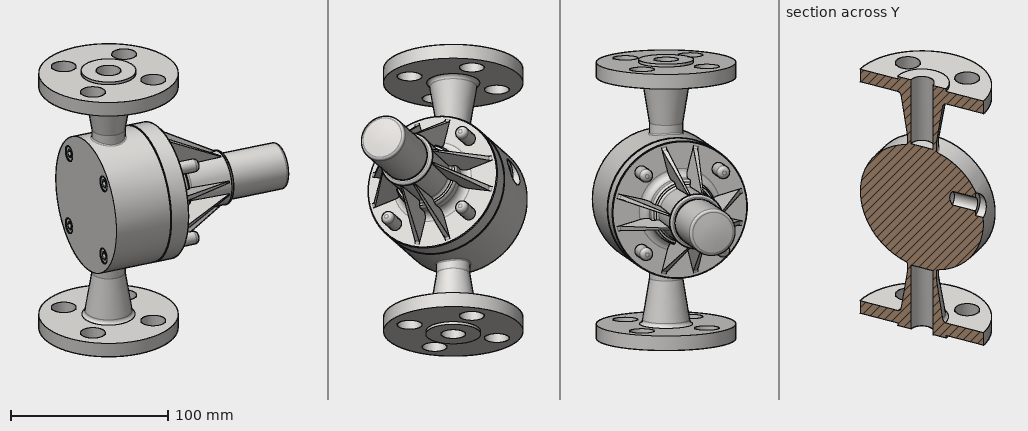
import cadquery as cq
import math

body_dia = 88.9
body_front_y = -15.8
joint_y = 22.5
cover_back_y = 35.5
cover_edge_chamfer = 0.5
joint_groove_width = 0.5
joint_groove_depth = 0.4

total_height = 182.0
raised_face_dia = 35.0
raised_face_height = 1.8
flange_dia = 88.9
flange_thickness = 9.5
flange_hole_dia = 15.8
flange_hole_spacing = 42.6
nozzle_bore_dia = 15.7
neck_dia = 21.3
neck_end_z = 50.3
neck_foot_fillet = 0.7
cone_end_z = 77.0
cone_end_dia = 30.0
root_dia = 33.9
flare_radius = 3.3

base_dia = 42.8
base_end_y = 48.0
base_edge_radius = 2.7
base_root_radius = 5.3
hub_dia = 35.0
hub_root_radius = 2.7
collar_dia = 35.5
collar_start_y = 78.7
collar_end_y = 80.7
collar_edge_radius = 1.8
collar_groove_width = 0.5
collar_groove_depth = 0.5

motor_dia = 30.0
motor_end_y = 121.8
motor_edge_radius = 1.8
dome_height = 1.1

rib_angle = 14.5
rib_foot_radius = 41.0
rib_foot_flare = 1.1
rib_foot_thickness = 3.1
rib_tip_thickness = 1.1
rib_tip_y = 77.0

bolt_spacing = 50.6
bolt_dia = 8.4
bolt_end_y = 50.8
bolt_tip_radius = 3.0
recess_dia = 10.2
recess_depth = 1.8
head_dia = 9.5
head_sink = 0.5
socket_flats = 4.7
socket_depth = 2.7

port_y = 2.5
port_z = 12.4
port_mouth_dia = 17.1
port_mouth_floor_x = -38.6
port_dia = 11.0
port_end_x = -21.9
port_tip_angle = 118.0


def backward_plane(y):
    """Sketch plane facing along Y; a negative extrusion from it runs toward +Y."""
    return cq.Workplane("XZ", origin=(0, y, 0))


def rod(dia, y_start, y_end):
    """Cylinder along Y between two positions."""
    return backward_plane(y_start).circle(dia / 2).extrude(y_start - y_end)


def make_body():
    """Drum with a chamfered rear rim and a shallow groove at the cover joint."""
    body = rod(body_dia, body_front_y, cover_back_y).faces(">Y").edges().chamfer(cover_edge_chamfer)
    ring = rod(body_dia, joint_y, joint_y + joint_groove_width)
    ring = ring.cut(rod(body_dia - 2 * joint_groove_depth, joint_y, joint_y + joint_groove_width))
    return body.cut(ring)


def make_housing():
    """Base, hub, collar and motor sleeve turned about the Y axis, rooted inside the cover."""
    base_r = base_dia / 2
    hub_r = hub_dia / 2
    collar_r = collar_dia / 2
    motor_r = motor_dia / 2
    groove_r = motor_r - collar_groove_depth
    cap_r = motor_r - motor_edge_radius
    cap_y = motor_end_y - dome_height
    dome_r = (cap_r**2 + dome_height**2) / (2 * dome_height)
    return (
        cq.Workplane("XY")
        .moveTo(0, joint_y)
        .lineTo(base_r + base_root_radius, joint_y)
        .lineTo(base_r + base_root_radius, cover_back_y)
        .radiusArc((base_r, cover_back_y + base_root_radius), base_root_radius)
        .lineTo(base_r, base_end_y - base_edge_radius)
        .radiusArc((base_r - base_edge_radius, base_end_y), -base_edge_radius)
        .lineTo(hub_r + hub_root_radius, base_end_y)
        .radiusArc((hub_r, base_end_y + hub_root_radius), hub_root_radius)
        .lineTo(hub_r, collar_start_y)
        .lineTo(collar_r, collar_start_y)
        .lineTo(collar_r, collar_end_y - collar_edge_radius)
        .radiusArc((collar_r - collar_edge_radius, collar_end_y), -collar_edge_radius)
        .lineTo(groove_r, collar_end_y)
        .lineTo(groove_r, collar_end_y + collar_groove_width)
        .lineTo(motor_r, collar_end_y + collar_groove_width)
        .lineTo(motor_r, cap_y - motor_edge_radius)
        .radiusArc((cap_r, cap_y), -motor_edge_radius)
        .radiusArc((0, motor_end_y), -dome_r)
        .close()
        .revolve(360, (0, 0, 0), (0, 1, 0))
    )


def make_ribs():
    """Triangular ribs in four pairs, each pair mirrored about the X or Z axis."""
    inner_r = hub_dia / 4
    tip_r = collar_dia / 2
    flare_r = rib_foot_radius + rib_foot_flare
    lean_in = math.atan2(rib_foot_radius - tip_r, rib_tip_y - cover_back_y)
    flare_top = (
        rib_foot_radius - rib_foot_flare * math.sin(lean_in),
        cover_back_y + rib_foot_flare * math.cos(lean_in),
    )
    flare_arc_radius = rib_foot_flare * math.tan((math.pi / 2 + lean_in) / 2)
    side = (
        cq.Workplane("XY")
        .moveTo(inner_r, cover_back_y)
        .lineTo(flare_r, cover_back_y)
        .radiusArc(flare_top, flare_arc_radius)
        .lineTo(tip_r, rib_tip_y)
        .lineTo(inner_r, rib_tip_y)
        .close()
        .extrude(rib_foot_thickness / 2, both=True)
    )
    taper = (
        cq.Workplane("ZY")
        .polyline([
            (-rib_foot_thickness / 2, cover_back_y),
            (rib_foot_thickness / 2, cover_back_y),
            (rib_tip_thickness / 2, rib_tip_y),
            (-rib_tip_thickness / 2, rib_tip_y),
        ])
        .close()
        .extrude(-flare_r)
    )
    rib = side.intersect(taper)
    ribs = cq.Workplane("XY")
    for quarter in range(4):
        for lean in (-rib_angle, rib_angle):
            ribs = ribs.add(rib.rotate((0, 0, 0), (0, 1, 0), 90 * quarter + lean))
    return ribs


def make_nozzle():
    """Neck, cone, flange and raised face turned about the Z axis."""
    top_z = total_height / 2
    flange_top_z = top_z - raised_face_height
    flange_z = flange_top_z - flange_thickness
    nozzle = (
        cq.Workplane("XZ")
        .lineTo(neck_dia / 2, 0)
        .lineTo(neck_dia / 2, neck_end_z)
        .lineTo(cone_end_dia / 2, cone_end_z)
        .radiusArc((root_dia / 2, flange_z), flare_radius)
        .lineTo(flange_dia / 2, flange_z)
        .lineTo(flange_dia / 2, flange_top_z)
        .lineTo(raised_face_dia / 2, flange_top_z)
        .lineTo(raised_face_dia / 2, top_z)
        .lineTo(0, top_z)
        .close()
        .revolve(360, (0, 0, 0), (0, 1, 0))
    )
    holes = (
        cq.Workplane("XY", origin=(0, 0, flange_z))
        .rect(flange_hole_spacing, flange_hole_spacing, forConstruction=True)
        .vertices()
        .circle(flange_hole_dia / 2)
        .extrude(flange_thickness)
    )
    return nozzle.cut(holes)


def make_bore():
    """Blind bore reaching from the raised face down to the body."""
    depth = total_height / 2 - body_dia / 2
    return cq.Workplane("XY", origin=(0, 0, body_dia / 2)).circle(nozzle_bore_dia / 2).extrude(depth)


def at_bolts(feature):
    """Copies of a feature built on the Y axis, one at each corner of the bolt square."""
    offset = bolt_spacing / 2
    copies = cq.Workplane("XY")
    for x in (-offset, offset):
        for z in (-offset, offset):
            copies = copies.add(feature.translate((x, 0, z)))
    return copies


def make_bolt():
    """Round-tipped bolt passing through the cover."""
    return rod(bolt_dia, joint_y, bolt_end_y).faces(">Y").edges().fillet(bolt_tip_radius)


def make_screw_recess():
    """Counterbore with a slightly sunken socket head left standing in it."""
    head_y = body_front_y + head_sink
    socket_corners = socket_flats / math.cos(math.pi / 6)
    recess = rod(recess_dia, body_front_y, body_front_y + recess_depth)
    head = rod(head_dia, head_y, body_front_y + recess_depth)
    socket = backward_plane(head_y).polygon(6, socket_corners).extrude(-socket_depth)
    return recess.cut(head).union(socket)


def make_port():
    """Mouth, drilled hole and conical tip turned about an axis along X."""
    tip_length = port_dia / 2 / math.tan(math.radians(port_tip_angle / 2))
    return (
        cq.Workplane("XY", origin=(0, port_y, port_z))
        .moveTo(-body_dia / 2, 0)
        .lineTo(-body_dia / 2, port_mouth_dia / 2)
        .lineTo(port_mouth_floor_x, port_mouth_dia / 2)
        .lineTo(port_mouth_floor_x, port_dia / 2)
        .lineTo(port_end_x, port_dia / 2)
        .lineTo(port_end_x + tip_length, 0)
        .close()
        .revolve(360, (0, 0, 0), (1, 0, 0))
    )


def fillet_neck_foot(part, side):
    """Round the saddle-shaped corner where a neck meets the body; side is +1 above, -1 below."""
    margin = neck_foot_fillet
    body_r = body_dia / 2
    neck_r = neck_dia / 2
    reach = neck_r + margin
    low_z = side * (math.sqrt(body_r**2 - neck_r**2) - margin)
    high_z = side * (body_r + margin)
    corner = cq.selectors.BoxSelector(
        (-reach, -reach, low_z), (reach, reach, high_z), boundingbox=True
    )
    return part.edges(corner).fillet(neck_foot_fillet)


upper_nozzle = make_nozzle()
result = make_body().union(upper_nozzle).union(upper_nozzle.mirror("XY"))
result = fillet_neck_foot(fillet_neck_foot(result, 1), -1)
result = result.union(make_housing())
for addition in make_ribs().vals() + at_bolts(make_bolt()).vals():
    result = result.union(cq.Workplane(addition))
for recess in at_bolts(make_screw_recess()).vals():
    result = result.cut(cq.Workplane(recess))
result = result.cut(make_bore()).cut(make_bore().mirror("XY"))
result = result.cut(make_port())